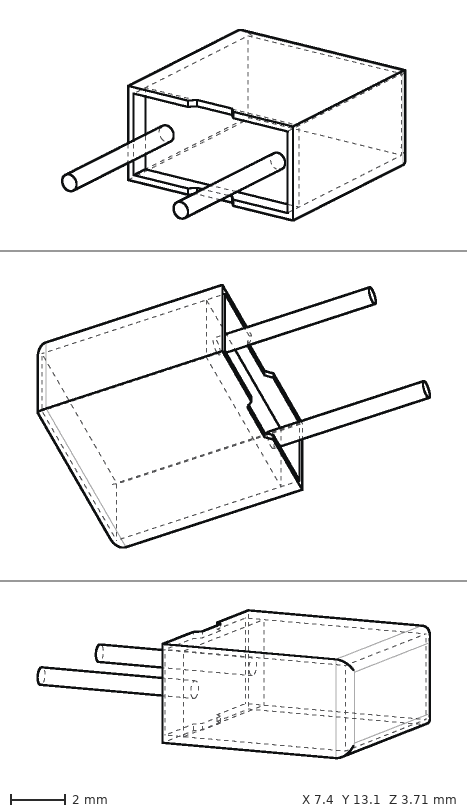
import cadquery as cq

case_width = 7.4
case_height = 3.71
lead_length = 5.5
case_length = 13.1 - lead_length
wall = 0.25
back_radius = 0.52

recess_depth = 0.75

notch_depth = 0.25
notch_mouth_width = 2.05
notch_floor_width = 1.57

lead_diameter = 0.65
lead_pitch = 5.0

cavity_width = case_width - 2 * wall
cavity_height = case_height - 2 * wall
cavity_depth = case_length - wall


def block_from_y(width, length, height, y_start):
    """Box centred on X and Z that runs from y_start towards +Y."""
    return cq.Workplane("XY").box(width, length, height, centered=(True, False, True)).translate(
        (0, y_start, 0)
    )


def make_notch():
    """Tapered notch that cuts the mouth edge of both broad walls."""
    return (
        cq.Workplane("XY")
        .polyline([
            (-notch_mouth_width / 2, 0),
            (notch_mouth_width / 2, 0),
            (notch_floor_width / 2, notch_depth),
            (-notch_floor_width / 2, notch_depth),
        ])
        .close()
        .extrude(case_height / 2, both=True)
    )


def make_case():
    """Thin-walled box, open at Y = 0, with a rounded closed end."""
    shell = block_from_y(case_width, case_length, case_height, 0)
    shell = shell.faces(">Y").edges().fillet(back_radius)
    cavity = block_from_y(cavity_width, cavity_depth, cavity_height, 0)
    return shell.cut(cavity).cut(make_notch())


def make_lead(x):
    """Round wire that starts on the face of the filling and points to -Y."""
    return (
        cq.Workplane("XZ", origin=(x, recess_depth, 0))
        .circle(lead_diameter / 2)
        .extrude(recess_depth + lead_length)
    )


def make_filling():
    """Potting that fills the case behind the recess."""
    return block_from_y(cavity_width, cavity_depth - recess_depth, cavity_height, recess_depth)


case = make_case()
filling = make_filling()
leads = [make_lead(side * lead_pitch / 2) for side in (-1, 1)]

result = cq.Compound.makeCompound([case.val(), filling.val(), *[lead.val() for lead in leads]])